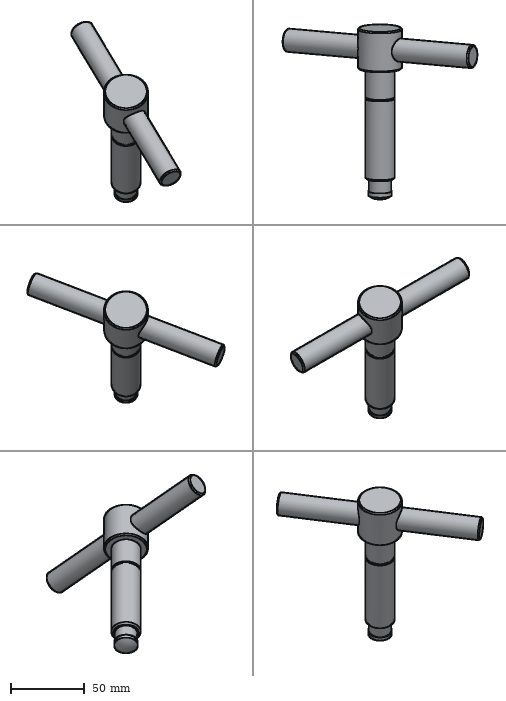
import cadquery as cq

bar_length = 140.0
bar_diameter = 16.0
bar_chamfer = 1.0

head_diameter = 30.0
head_height = 28.0
head_chamfer = 1.0

overall_height = 118.0
shaft_diameter = 20.0
shaft_end_depth = 104.0
shaft_chamfer = 1.3
groove_depth_from_top = 47.7
groove_width = 1.0
groove_radial_depth = 0.8

neck_diameter = 15.3
tip_diameter = 16.1
tip_top_depth = 112.4
dome_height = 2.8


def cylinder(diameter, top_depth, bottom_depth):
    """Vertical cylinder between two depths below the top of the head."""
    height = bottom_depth - top_depth
    return cq.Workplane("XY").workplane(offset=-bottom_depth).circle(diameter / 2).extrude(height)


def make_head():
    return cylinder(head_diameter, 0, head_height).edges().chamfer(head_chamfer)


def make_shaft():
    shaft = cylinder(shaft_diameter, head_height, shaft_end_depth)
    shaft = shaft.faces("<Z").edges().chamfer(shaft_chamfer)
    groove_bottom = groove_depth_from_top + groove_width
    groove_diameter = shaft_diameter - 2 * groove_radial_depth
    groove = cylinder(shaft_diameter, groove_depth_from_top, groove_bottom).cut(
        cylinder(groove_diameter, groove_depth_from_top, groove_bottom)
    )
    return shaft.cut(groove)


def make_tip():
    """Neck and wider tip, the tip closed by a shallow spherical dome."""
    neck = cylinder(neck_diameter, shaft_end_depth, tip_top_depth)
    tip_radius = tip_diameter / 2
    dome_radius = (tip_radius**2 + dome_height**2) / (2 * dome_height)
    dome_center_depth = overall_height - dome_radius
    dome_sphere = cq.Workplane("XY").sphere(dome_radius).translate((0, 0, -dome_center_depth))
    tip = cylinder(tip_diameter, tip_top_depth, overall_height).intersect(dome_sphere)
    return neck.union(tip)


def make_crossbar():
    """Bar through the middle of the head, along X."""
    bar = cq.Workplane("YZ").circle(bar_diameter / 2).extrude(bar_length / 2, both=True)
    return bar.edges("%CIRCLE").chamfer(bar_chamfer).translate((0, 0, -head_height / 2))


result = make_head().union(make_shaft()).union(make_tip()).union(make_crossbar())